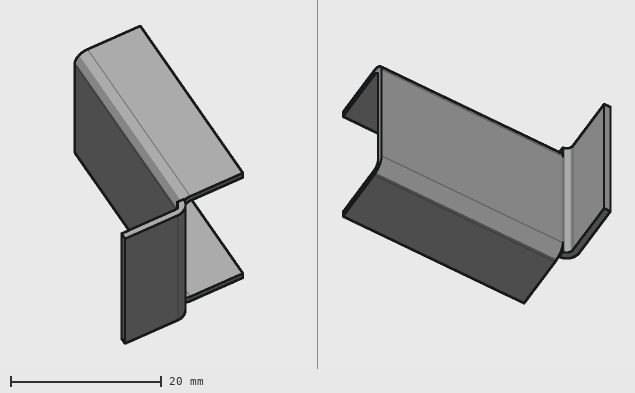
import cadquery as cq

length = 30.0
height = 23.0
channel_depth = 10.0
flange_reach = 9.0

thickness = 1.0
inner_radius = 1.0
outer_radius = inner_radius + thickness

channel_length = length - outer_radius


def make_channel():
    """C-shaped channel along X, web at Y = 0 and open toward +Y."""
    outside = (
        cq.Workplane("XY")
        .box(channel_length, channel_depth, height, centered=(False, False, True))
        .edges("|X and <Y")
        .fillet(outer_radius)
    )
    inside = (
        cq.Workplane("XY")
        .box(channel_length, channel_depth, height - 2 * thickness, centered=(False, False, True))
        .edges("|X and <Y")
        .fillet(inner_radius)
        .translate((0, thickness, 0))
    )
    return outside.cut(inside)


def make_end_flange():
    """Full-height flange toward -Y, joined to the web by a 90 degree bend."""
    inner_face_x = length - thickness
    bend_end_y = -inner_radius
    return (
        cq.Workplane("XY")
        .workplane(offset=-height / 2)
        .moveTo(channel_length, 0)
        .lineTo(channel_length, thickness)
        .radiusArc((length, bend_end_y), outer_radius)
        .lineTo(length, -flange_reach)
        .lineTo(inner_face_x, -flange_reach)
        .lineTo(inner_face_x, bend_end_y)
        .radiusArc((channel_length, 0), -inner_radius)
        .close()
        .extrude(height)
    )


result = make_channel().union(make_end_flange())